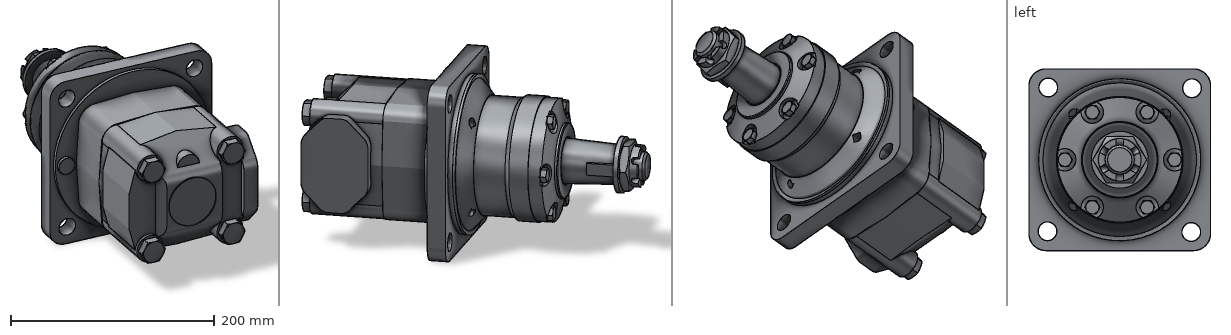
import cadquery as cq
import math

OVERLAP = 1.0

SHAFT_TIP = -182.9
CASTLE_FRONT = -177.2
HEX_FRONT = -169.2
WASHER_FRONT = -159.4
WASHER_BACK = -154.6
SHAFT_END = -80.0
SEAL_FRONT = -101.0
NOSE_FRONT = -97.8
NOSE_BACK = -90.7
COVER_BACK = -76.9
COLLAR_BACK = -57.6
COLLAR_CHAMFER_BACK = -55.0
NECK_FRONT = -53.0
NECK_BACK = -21.2
SKIRT_BACK = -8.3
SPIGOT_FRONT = -7.6
LIP_GROOVE_FLOOR = -6.8
SPIGOT_STEP = -4.9
FLANGE_BACK = 18.4
REAR_RING_BACK = 22.3
GEROTOR_BACK = 71.0
BOLT_SEAT = 145.2
BOLT_HEAD_BACK = 153.7
REAR_FACE = 150.2
REAR_DISC_BACK = 151.2

TIP_DIA = 28.7
TIP_CHAMFER = 2.4
NUT_CASTLE_DIA = 41.8
NUT_HEX_FLATS = 46.0
NUT_HEX_CHAMFER = 2.2
NUT_SLOT_COUNT = 6
NUT_SLOT_WIDTH = 7.0
PIN_HOLE_DIA = 6.0
NUT_SLOT_BOTTOM = CASTLE_FRONT + 6.4
WASHER_DIA = 56.0
JOURNAL_DIA = 45.0
TAPER_START_DIA = JOURNAL_DIA - (SEAL_FRONT - WASHER_BACK) / 10
KEY_WIDTH = 12.0
KEY_TOP = 23.9
KEY_BACK = -126.8

SEAL_DIA = 75.4
SEAL_CHAMFER = 1.0
SEAL_RECESS_DIA = 48.0
SEAL_RECESS_DEPTH = 1.0
COVER_DIA = 122.6
COLLAR_DIA = 124.8
COLLAR_CHAMFER_DIA = 120.6
NECK_DIA = 118.8
SKIRT_FRONT_DIA = 120.0
SKIRT_BACK_DIA = 149.0
LIP_GROOVE_DIA = 151.0
LIP_INNER_DIA = 156.2
SPIGOT_FRONT_DIA = 159.6
SPIGOT_DIA = 159.2
FLANGE_SIZE = 179.01
FLANGE_CORNER = 17.0
FLANGE_HOLE_DIA = 18.2
FLANGE_HOLE_CIRCLE = 200.0
FLANGE_HOLE_TURN = 0.3
REAR_RING_DIA = 171.2
SCREW_COUNT = 6
SCREW_CIRCLE = 108.0
SCREW_HEAD_FLATS = 13.0
SCREW_HEAD_FRONT = -95.0
SCREW_HEAD_CHAMFER = 0.6
SPOTFACE_DIA = 22.0
SPOTFACE_FLOOR = -89.1
PLUG_DIA = 17.6
PLUG_BACK = 25.9
PLUG_Y = -74.6

PEAK = 62.4
BOLT_OFFSET = 44.2
GEROTOR_CORNER_RADIUS = 20.0
GEROTOR_EDGE_ACROSS = 45.2
GEROTOR_EDGE_OUT = 59.5
RIDGE_HALF_FLAT = 0.5
TUBE_DIA = 28.7
SIDE_EDGE_ACROSS = 42.1
SIDE_EDGE_OUT = 58.4
SLOPE_START = 116.0
REAR_ROUND = 16.0
REAR_DISC_DIA = 52.0
DOME_DIA = 24.12
DOME_Z = 35.6
DOME_BACK = 142.3
FRONT_PAD_START = 85.0
FRONT_PAD_BACK = 141.8
FRONT_PAD_Y = -65.4
FRONT_PAD_EDGE_Y = -58.8
FRONT_PAD_HALF_HEIGHT = 44.0
FRONT_PAD_HALF_FLAT = 19.8
FRONT_PAD_ROOT_Y = -35.0
PORT_PAD_CENTER_X = 116.6
PORT_PAD_HALF_LENGTH = 34.0
PORT_PAD_HALF_HEIGHT = 48.3
PORT_PAD_HALF_FLAT = 6.7
PORT_PAD_TOP_RADIUS = 11.6
PORT_PAD_END_RADIUS = 16.0
PORT_PAD_FACE_Y = 72.5
PORT_PAD_ROOT_Y = 57.0

BOLT_DIA = 14.0
BOLT_HEAD_FLATS = 22.5
BOLT_HEAD_CHAMFER = 0.8
BOLT_END = 5.0
TAP_DRILL_DIA = 11.84
TAP_SHOULDER = -16.4
TAP_TIP = TAP_SHOULDER - 3.4


def hex_corner_dia(flats):
    return flats / math.cos(math.radians(30))


def yz_plane(x):
    return cq.Workplane("YZ", origin=(x, 0, 0))


def cylinder(dia, x_start, x_end, y=0.0, z=0.0):
    return yz_plane(x_start).center(y, z).circle(dia / 2).extrude(x_end - x_start)


def hexagon(flats, x_start, x_end, y=0.0, z=0.0):
    return yz_plane(x_start).center(y, z).polygon(6, hex_corner_dia(flats)).extrude(x_end - x_start)


def turned(stations):
    """Solid of revolution about X through (x, diameter) stations."""
    outline = [(x, dia / 2) for x, dia in stations]
    ends = [(stations[-1][0], 0), (stations[0][0], 0)]
    return cq.Workplane("XY").polyline(outline + ends).close().revolve(360, (0, 0, 0), (1, 0, 0))


def quarter_turn(point, count):
    y, z = point
    for _ in range(count):
        y, z = -z, y
    return y, z


def circle_points(count, dia, start_angle):
    angles = [math.radians(start_angle + 360 * i / count) for i in range(count)]
    return [(dia / 2 * math.cos(a), dia / 2 * math.sin(a)) for a in angles]


BOLT_POINTS = [(y, z) for y in (-BOLT_OFFSET, BOLT_OFFSET) for z in (-BOLT_OFFSET, BOLT_OFFSET)]


def make_nut():
    castle = cylinder(NUT_CASTLE_DIA, CASTLE_FRONT, HEX_FRONT)
    corner_dia = hex_corner_dia(NUT_HEX_FLATS)
    chamfer_shape = turned([
        (HEX_FRONT, NUT_CASTLE_DIA),
        (HEX_FRONT + NUT_HEX_CHAMFER, corner_dia),
        (WASHER_FRONT - NUT_HEX_CHAMFER, corner_dia),
        (WASHER_FRONT, NUT_HEX_FLATS),
    ])
    nut = castle.union(hexagon(NUT_HEX_FLATS, HEX_FRONT, WASHER_FRONT).intersect(chamfer_shape))
    round_x = NUT_SLOT_BOTTOM - NUT_SLOT_WIDTH / 2
    for i in range(NUT_SLOT_COUNT):
        slot = (
            cq.Workplane("XY")
            .center(round_x, 0)
            .slot2D(4 * NUT_SLOT_WIDTH, NUT_SLOT_WIDTH)
            .extrude(NUT_CASTLE_DIA)
            .translate((-1.5 * NUT_SLOT_WIDTH, 0, 0))
            .rotate((0, 0, 0), (1, 0, 0), i * 360 / NUT_SLOT_COUNT)
        )
        nut = nut.cut(slot)
    return nut


def make_shaft():
    shaft = turned([
        (SHAFT_TIP, TIP_DIA - 2 * TIP_CHAMFER),
        (SHAFT_TIP + TIP_CHAMFER, TIP_DIA),
        (WASHER_FRONT, TIP_DIA),
        (WASHER_FRONT, WASHER_DIA),
        (WASHER_BACK, WASHER_DIA),
        (WASHER_BACK, TAPER_START_DIA),
        (SEAL_FRONT, JOURNAL_DIA),
        (SHAFT_END, JOURNAL_DIA),
    ])
    key = cq.Workplane("XY").box(
        KEY_BACK - WASHER_BACK + OVERLAP, KEY_TOP, KEY_WIDTH, centered=(False, False, True)
    ).translate((WASHER_BACK - OVERLAP, 0, 0))
    pin_x = NUT_SLOT_BOTTOM - NUT_SLOT_WIDTH / 2
    pin_hole = cq.Workplane("XY").center(pin_x, 0).circle(PIN_HOLE_DIA / 2).extrude(WASHER_DIA, both=True)
    return shaft.union(make_nut()).union(key).cut(pin_hole)


def make_flange():
    flange = yz_plane(0).rect(FLANGE_SIZE, FLANGE_SIZE).extrude(FLANGE_BACK)
    flange = flange.edges("|X").fillet(FLANGE_CORNER)
    hole_points = circle_points(4, FLANGE_HOLE_CIRCLE, 45 + FLANGE_HOLE_TURN)
    return flange.cut(yz_plane(0).pushPoints(hole_points).circle(FLANGE_HOLE_DIA / 2).extrude(FLANGE_BACK))


def make_screw_head():
    corner_dia = hex_corner_dia(SCREW_HEAD_FLATS)
    chamfer_shape = turned([
        (SCREW_HEAD_FRONT, SCREW_HEAD_FLATS),
        (SCREW_HEAD_FRONT + SCREW_HEAD_CHAMFER, corner_dia),
        (SPOTFACE_FLOOR + OVERLAP, corner_dia),
    ])
    return hexagon(SCREW_HEAD_FLATS, SCREW_HEAD_FRONT, SPOTFACE_FLOOR + OVERLAP).intersect(chamfer_shape)


def make_housing():
    body = turned([
        (SEAL_FRONT, SEAL_DIA - 2 * SEAL_CHAMFER),
        (SEAL_FRONT + SEAL_CHAMFER, SEAL_DIA),
        (NOSE_FRONT, SEAL_DIA),
        (NOSE_BACK, COVER_DIA),
        (COVER_BACK, COVER_DIA),
        (COVER_BACK, COLLAR_DIA),
        (COLLAR_BACK, COLLAR_DIA),
        (COLLAR_CHAMFER_BACK, COLLAR_CHAMFER_DIA),
        (NECK_FRONT, NECK_DIA),
        (NECK_BACK, NECK_DIA),
        (NECK_BACK, SKIRT_FRONT_DIA),
        (SKIRT_BACK, SKIRT_BACK_DIA),
        (LIP_GROOVE_FLOOR, LIP_GROOVE_DIA),
        (SPIGOT_FRONT, LIP_INNER_DIA),
        (SPIGOT_FRONT, SPIGOT_FRONT_DIA),
        (SPIGOT_STEP, SPIGOT_FRONT_DIA),
        (SPIGOT_STEP, SPIGOT_DIA),
        (FLANGE_BACK, SPIGOT_DIA),
        (FLANGE_BACK, REAR_RING_DIA),
        (REAR_RING_BACK, REAR_RING_DIA),
    ])
    housing = body.union(make_flange())
    screw_head = make_screw_head()
    for y, z in circle_points(SCREW_COUNT, SCREW_CIRCLE, 0):
        housing = housing.cut(cylinder(SPOTFACE_DIA, SEAL_FRONT, SPOTFACE_FLOOR, y, z))
        housing = housing.union(screw_head.translate((0, y, z)))
    tap_drill = turned([(TAP_TIP, 0), (TAP_SHOULDER, TAP_DRILL_DIA), (BOLT_END, TAP_DRILL_DIA)])
    for y, z in BOLT_POINTS:
        housing = housing.cut(tap_drill.translate((0, y, z)))
    housing = housing.union(cylinder(PLUG_DIA, REAR_RING_BACK - OVERLAP, PLUG_BACK, PLUG_Y))
    housing = housing.cut(cylinder(SEAL_RECESS_DIA, SEAL_FRONT, SEAL_FRONT + SEAL_RECESS_DEPTH))
    return housing.cut(cylinder(JOURNAL_DIA, SEAL_FRONT, SHAFT_END))


def make_gerotor():
    half_chord = (GEROTOR_EDGE_OUT - GEROTOR_EDGE_ACROSS) * math.sqrt(0.5)
    rise = GEROTOR_CORNER_RADIUS - math.sqrt(GEROTOR_CORNER_RADIUS**2 - half_chord**2)
    middle = (GEROTOR_EDGE_OUT + GEROTOR_EDGE_ACROSS) / 2 + rise * math.sqrt(0.5)
    arc_start = (GEROTOR_EDGE_OUT, GEROTOR_EDGE_ACROSS)
    arc_end = (GEROTOR_EDGE_ACROSS, GEROTOR_EDGE_OUT)

    outline = yz_plane(REAR_RING_BACK).moveTo(PEAK, 0)
    for i in range(4):
        outline = outline.lineTo(*quarter_turn(arc_start, i))
        outline = outline.threePointArc(quarter_turn((middle, middle), i), quarter_turn(arc_end, i))
        if i < 3:
            outline = outline.lineTo(*quarter_turn((0, PEAK), i))
    return outline.close().extrude(GEROTOR_BACK - REAR_RING_BACK)


def make_cover_block():
    side = [
        (SIDE_EDGE_OUT, -SIDE_EDGE_ACROSS),
        (PEAK, -RIDGE_HALF_FLAT),
        (PEAK, RIDGE_HALF_FLAT),
        (SIDE_EDGE_OUT, SIDE_EDGE_ACROSS),
    ]
    outline = [quarter_turn(point, i) for i in range(4) for point in side]
    block = yz_plane(GEROTOR_BACK).polyline(outline).close().extrude(REAR_FACE - GEROTOR_BACK)

    sloped = [(GEROTOR_BACK, PEAK), (SLOPE_START, PEAK), (REAR_FACE, PEAK - (REAR_FACE - SLOPE_START))]
    slope_end = PEAK - (BOLT_SEAT - SLOPE_START)
    stepped = [(GEROTOR_BACK, PEAK), (BOLT_SEAT, PEAK), (BOLT_SEAT, slope_end), (REAR_FACE, slope_end)]
    sloped_below = [(x, -out) for x, out in reversed(sloped)]
    height_limit = cq.Workplane("XZ").polyline(sloped + sloped_below).close().extrude(PEAK, both=True)
    height_limit = height_limit.edges("|Y").edges(">X").fillet(REAR_ROUND)
    width_limit = cq.Workplane("XY").polyline(stepped + sloped_below).close().extrude(PEAK, both=True)
    block = block.intersect(height_limit).intersect(width_limit)
    return block.union(cylinder(REAR_DISC_DIA, REAR_FACE - OVERLAP, REAR_DISC_BACK))


def make_front_pad():
    half = [
        (FRONT_PAD_ROOT_Y, FRONT_PAD_HALF_HEIGHT),
        (FRONT_PAD_EDGE_Y, FRONT_PAD_HALF_HEIGHT),
        (FRONT_PAD_Y, FRONT_PAD_HALF_FLAT),
    ]
    mirrored = [(y, -z) for y, z in reversed(half)]
    length = FRONT_PAD_BACK - FRONT_PAD_START
    return yz_plane(FRONT_PAD_START).polyline(half + mirrored).close().extrude(length)


def make_port_pad():
    top_tangent = PORT_PAD_TOP_RADIUS * math.tan(math.radians(22.5))
    corner_x = PORT_PAD_HALF_FLAT + top_tangent
    drop = PORT_PAD_HALF_LENGTH - corner_x
    corner_z = PORT_PAD_HALF_HEIGHT - drop
    points = [
        (sx * x, sz * z)
        for sx, sz, flip in ((1, 1, 1), (-1, 1, -1), (-1, -1, 1), (1, -1, -1))
        for x, z in [(PORT_PAD_HALF_LENGTH, corner_z), (corner_x, PORT_PAD_HALF_HEIGHT)][::flip]
    ]
    pad = (
        cq.Workplane("XZ", origin=(PORT_PAD_CENTER_X, PORT_PAD_FACE_Y, 0))
        .polyline(points)
        .close()
        .extrude(PORT_PAD_FACE_Y - PORT_PAD_ROOT_Y)
    )
    middle = cq.selectors.BoxSelector(
        (PORT_PAD_CENTER_X - corner_x - OVERLAP, PORT_PAD_ROOT_Y - OVERLAP, -PEAK),
        (PORT_PAD_CENTER_X + corner_x + OVERLAP, PORT_PAD_FACE_Y + OVERLAP, PEAK),
    )
    pad = pad.edges("|Y").edges(middle).fillet(PORT_PAD_TOP_RADIUS)
    pad = pad.edges("|Y").edges(">X or <X").fillet(PORT_PAD_END_RADIUS)
    return pad


def make_end_cover():
    cover = make_cover_block().union(make_front_pad()).union(make_port_pad())
    for y, z in BOLT_POINTS:
        cover = cover.union(cylinder(TUBE_DIA, GEROTOR_BACK, BOLT_SEAT, y, z))
    return cover.union(cylinder(DOME_DIA, SLOPE_START, DOME_BACK, 0, DOME_Z))


def make_bolt(y, z):
    head = hexagon(BOLT_HEAD_FLATS, BOLT_SEAT, BOLT_HEAD_BACK, y, z)
    corner_dia = hex_corner_dia(BOLT_HEAD_FLATS)
    chamfer_shape = turned([
        (BOLT_SEAT, corner_dia),
        (BOLT_HEAD_BACK - BOLT_HEAD_CHAMFER, corner_dia),
        (BOLT_HEAD_BACK, corner_dia - 4 * BOLT_HEAD_CHAMFER),
    ]).translate((0, y, z))
    return head.intersect(chamfer_shape).union(cylinder(BOLT_DIA, BOLT_END, BOLT_SEAT, y, z))


def cut_bolt_holes(body):
    for y, z in BOLT_POINTS:
        body = body.cut(cylinder(BOLT_DIA, BOLT_END, BOLT_SEAT, y, z))
    return body


shaft = make_shaft()
housing = cut_bolt_holes(make_housing())
gerotor = cut_bolt_holes(make_gerotor())
end_cover = cut_bolt_holes(make_end_cover())
bolts = [make_bolt(y, z) for y, z in BOLT_POINTS]

result = cq.Compound.makeCompound([
    shaft.val(),
    housing.val(),
    gerotor.val(),
    end_cover.val(),
    *[bolt.val() for bolt in bolts],
])